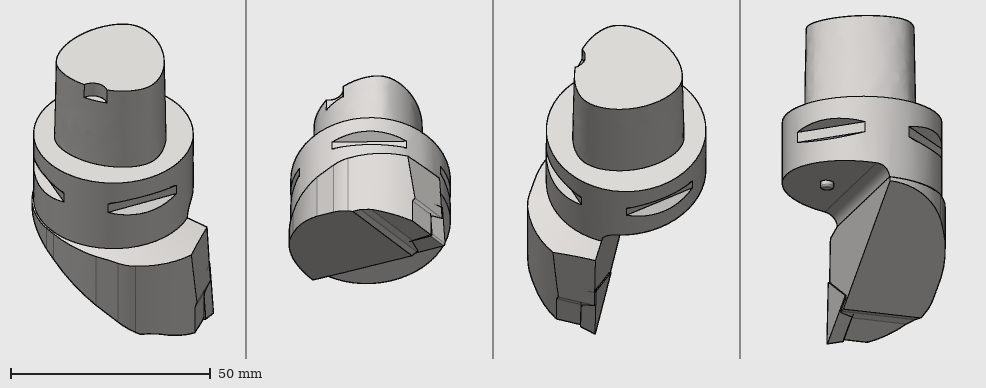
import cadquery as cq
import math


shank_height = 24.0
shank_base_radius = 14.0
shank_top_radius = 13.55
shank_lobe = 0.9
shank_points = 36
notch_radius = 3.7
notch_depth = 4.1
notch_center_y = -14.6

flange_radius = 40.0 / 2
flange_height = 20.95
groove_middle_z = -8.1
groove_floor_width = 2.7
groove_floor_distance = 17.7
groove_flank_angle = 30
groove_count = 4

head_face_y = -0.4
head_back_y = -22.35
head_left_radius = 20.4
head_left_arc_end_x = -11.55
head_left_line_end = (-9.0, -18.35)
head_back_flat_start_x = 3.9
head_back_flat_end_x = 9.85
head_corner_middle = (12.05, -22.1)
head_corner_end = (14.1, -21.45)
head_right_arc_middle = (21.2, -16.9)
head_right_arc_end = (26.3, -9.6)
head_depth = 51.8
head_cone_angle = 15.5

head_left_tip = (-head_left_radius, -22.1)
head_right_top = (25.3, -22.5)
head_right_relief_start = (26.2, -39.2)
head_right_relief_end = (25.9, -40.55)
head_bottom_tip = (25.9, -48.6)
head_step_right = (19.3, -45.0)
head_step_middle = (17.1, -44.4)
head_step_left = (15.3, -44.4)

undercut_edge_z = -16.05
undercut_slope = 5
undercut_fillet = 3.7

nozzle_radius = 3.3 / 2
nozzle_y = 9.25
nozzle_tip_z = -18.6
nozzle_tip_round = 0.6
nozzle_root_z = -14.8

insert_tip = (26.9, -50.3)
insert_side = 16.6
insert_lean = 3.6
insert_tip_angle = 55
insert_thickness = 4.0
insert_clearance = 7
insert_nose_radius = 0.4


def polygon_point(radius, angle):
    """Point of a three-lobed curve with support distance radius + lobe * cos(3 * angle), a lobe on +Y."""
    phase = 3 * (angle - math.pi / 2)
    support = radius + shank_lobe * math.cos(phase)
    slope = -3 * shank_lobe * math.sin(phase)
    x = support * math.cos(angle) - slope * math.sin(angle)
    y = support * math.sin(angle) + slope * math.cos(angle)
    return x, y


def shank_section(radius, z):
    points = [polygon_point(radius, 2 * math.pi * i / shank_points) for i in range(shank_points)]
    edge = cq.Workplane("XY", origin=(0, 0, z)).spline(points, periodic=True).close()
    return edge.val()


def make_shank():
    sections = [shank_section(shank_base_radius, 0), shank_section(shank_top_radius, shank_height)]
    shank = cq.Workplane(cq.Solid.makeLoft(sections, True))
    notch = (
        cq.Workplane("XY", origin=(0, notch_center_y, shank_height))
        .circle(notch_radius)
        .extrude(-notch_depth)
    )
    return shank.cut(notch)


def make_gripper_groove():
    """Straight groove along Y with flanks that open outward, cutting the +X side of the flange."""
    floor_half = groove_floor_width / 2
    reach = flange_radius + 0.75 - groove_floor_distance
    mouth_half = floor_half + reach * math.tan(math.radians(groove_flank_angle))
    return (
        cq.Workplane("XZ", origin=(groove_floor_distance, 0, groove_middle_z))
        .polyline([(0, -floor_half), (reach, -mouth_half), (reach, mouth_half), (0, floor_half)])
        .close()
        .extrude(flange_radius, both=True)
    )


def make_flange():
    flange = cq.Workplane("XY").circle(flange_radius).extrude(-flange_height)
    groove = make_gripper_groove()
    for i in range(groove_count):
        angle = (i + 0.5) * 360 / groove_count
        flange = flange.cut(groove.rotate((0, 0, 0), (0, 0, 1), angle))
    return flange


def left_arc_point(x):
    return x, -math.sqrt(head_left_radius**2 - x**2)


def make_head():
    left_x = -math.sqrt(head_left_radius**2 - head_face_y**2)
    middle_angle = math.radians(205)
    left_arc_middle = (head_left_radius * math.cos(middle_angle), head_left_radius * math.sin(middle_angle))
    outline = (
        cq.Workplane("XY")
        .moveTo(left_x, head_face_y)
        .threePointArc(left_arc_middle, left_arc_point(head_left_arc_end_x))
        .lineTo(*head_left_line_end)
        .tangentArcPoint((head_back_flat_start_x, head_back_y), relative=False)
        .lineTo(head_back_flat_end_x, head_back_y)
        .threePointArc(head_corner_middle, head_corner_end)
        .threePointArc(head_right_arc_middle, head_right_arc_end)
        .lineTo(head_right_arc_end[0], head_face_y)
        .close()
        .extrude(-head_depth)
    )
    side_profile = (
        cq.Workplane("XZ")
        .moveTo(-head_left_radius, 0)
        .lineTo(*head_left_tip)
        .lineTo(*head_step_left)
        .lineTo(*head_step_middle)
        .lineTo(*head_step_right)
        .lineTo(*head_bottom_tip)
        .lineTo(*head_right_relief_end)
        .lineTo(*head_right_relief_start)
        .lineTo(*head_right_top)
        .lineTo(head_right_top[0], 0)
        .close()
        .extrude(-2 * head_back_y)
    )
    return outline.intersect(side_profile).intersect(make_head_top_cone())


def make_head_top_cone():
    """Envelope whose top falls away as a cone outside the flange."""
    outer_radius = 2 * flange_radius
    drop = (outer_radius - flange_radius) * math.tan(math.radians(head_cone_angle))
    return (
        cq.Workplane("XZ")
        .moveTo(0, -flange_height)
        .lineTo(flange_radius, -flange_height)
        .lineTo(outer_radius, -flange_height - drop)
        .lineTo(outer_radius, -head_depth)
        .lineTo(0, -head_depth)
        .close()
        .revolve(360, (0, 0, 0), (0, 1, 0))
    )


def make_undercut():
    """Space in front of the insert face: a sloped ceiling that rounds down into the head face."""
    corner_z = undercut_edge_z - (flange_radius - head_face_y) * math.tan(math.radians(undercut_slope))
    outer_y = 2 * flange_radius
    outer_z = undercut_edge_z + (outer_y - flange_radius) * math.tan(math.radians(undercut_slope))
    floor_z = -head_depth
    block = (
        cq.Workplane("YZ")
        .polyline([(head_face_y, corner_z), (outer_y, outer_z), (outer_y, floor_z), (head_face_y, floor_z)])
        .close()
        .extrude(2 * flange_radius, both=True)
    )
    corner = cq.selectors.NearestToPointSelector((0, head_face_y, corner_z))
    return block.edges("|X").edges(corner).fillet(undercut_fillet)


def make_nozzle():
    return (
        cq.Workplane("XY", origin=(0, nozzle_y, nozzle_tip_z))
        .circle(nozzle_radius)
        .extrude(nozzle_root_z - nozzle_tip_z)
        .faces("<Z")
        .fillet(nozzle_tip_round)
    )


def insert_corner(direction):
    angle = math.radians(direction)
    x = insert_tip[0] + insert_side * math.cos(angle)
    z = insert_tip[1] + insert_side * math.sin(angle)
    return x, z


def make_insert():
    """Triangular insert with rounded noses, narrowing from its rake face at Y = 0 toward its seat."""
    upper_direction = 90 + insert_lean
    corners = [insert_tip, insert_corner(upper_direction), insert_corner(upper_direction + insert_tip_angle)]
    blank = cq.Workplane("XZ").polyline(corners).close().extrude(insert_thickness, taper=insert_clearance)
    return blank.edges("not #Y").fillet(insert_nose_radius)


insert = make_insert()
holder = (
    make_flange()
    .union(make_head())
    .cut(make_undercut())
    .union(make_shank())
    .union(make_nozzle())
    .cut(insert)
)

result = cq.Compound.makeCompound([holder.solids().val(), insert.solids().val()])